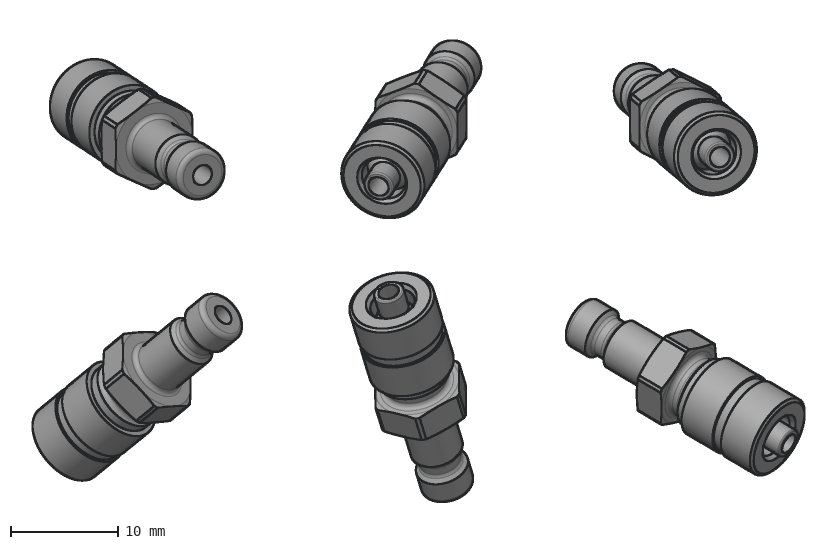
import cadquery as cq
import math

length = 25.0
collar_start = 1.15
collar_end = 9.58
groove_start = 4.85
groove_end = 5.88
cone_start = 2.2
cone_end = 3.45
stud_start = 5.88
flange_end = 10.5
hex_start = 12.0
hex_end = 15.0
stub_groove_start = 20.2
stub_groove_end = 22.42

bore_dia = 1.95
tube_dia = 2.85
throat_dia = 4.25
mouth_dia = 4.85
stud_dia = 6.5
flange_dia = 7.0
neck_dia = 6.0
stub_dia = 5.0
stub_groove_dia = 3.95
collar_dia = 8.1
collar_groove_dia = 7.65

hex_flats = 8.0
hex_corner_dia = 9.0
hex_face_dia = 8.0
hex_bevel = 0.12

tube_round = 0.15
neck_fillet = 0.5
stub_fillet = 0.45
tip_round = 0.5
stub_groove_fillet = 0.5
collar_chamfer_length = 0.22
collar_chamfer_depth = 0.3
mouth_depth = 0.5


def cylinder(start, end, diameter):
    """Solid cylinder on the X axis between two positions."""
    return cq.Workplane("YZ").workplane(offset=start).circle(diameter / 2).extrude(end - start)


def revolve_profile(points):
    """Turn an outline of (x, radius) points about the X axis."""
    return cq.Workplane("XY").polyline(points).close().revolve(360, (0, 0, 0), (1, 0, 0))


def make_nose():
    """Tube, cone and stud that sit inside the collar, plus the flange behind it."""
    tube = cylinder(0, cone_start, tube_dia).faces("<X").edges().fillet(tube_round)
    cone = revolve_profile([
        (cone_start, 0),
        (cone_start, tube_dia / 2),
        (cone_end, throat_dia / 2),
        (stud_start, throat_dia / 2),
        (stud_start, 0),
    ])
    stud = cylinder(stud_start, collar_end, stud_dia)
    flange = cylinder(collar_end, flange_end, flange_dia)
    return tube.union(cone).union(stud).union(flange)


def make_neck():
    """Relief between flange and hexagon, rounded into both."""
    floor = neck_dia / 2
    rim = floor + neck_fillet
    bend = neck_fillet * math.sqrt(0.5)
    left = flange_end + neck_fillet
    right = hex_start - neck_fillet
    return (
        cq.Workplane("XY")
        .moveTo(flange_end, 0)
        .lineTo(flange_end, rim)
        .threePointArc((left - bend, rim - bend), (left, floor))
        .lineTo(right, floor)
        .threePointArc((right + bend, rim - bend), (hex_start, rim))
        .lineTo(hex_start, 0)
        .close()
        .revolve(360, (0, 0, 0), (1, 0, 0))
    )


def make_hexagon():
    """Wrench hexagon with flats facing Y, turned corners and beveled ends."""
    corner_to_corner = hex_flats / math.cos(math.pi / 6)
    prism = (
        cq.Workplane("YZ")
        .workplane(offset=hex_start)
        .transformed(rotate=(0, 0, 90))
        .polygon(6, corner_to_corner)
        .extrude(hex_end - hex_start)
    )
    envelope = revolve_profile([
        (hex_start, 0),
        (hex_start, hex_face_dia / 2),
        (hex_start + hex_bevel, hex_corner_dia / 2),
        (hex_end - hex_bevel, hex_corner_dia / 2),
        (hex_end, hex_face_dia / 2),
        (hex_end, 0),
    ])
    return prism.intersect(envelope)


def make_stub():
    """Plug end with a latching groove and a rounded tip."""
    outer = stub_dia / 2
    floor = stub_groove_dia / 2
    slope = outer - floor
    groove = revolve_profile([
        (stub_groove_start, outer),
        (stub_groove_start + slope, floor),
        (stub_groove_end - slope, floor),
        (stub_groove_end, outer),
    ])
    stub = cylinder(hex_end, length, stub_dia).faces(">X").edges().fillet(tip_round)
    stub = stub.cut(groove)
    floor_region = cq.selectors.BoxSelector(
        (stub_groove_start + slope / 2, -outer, -outer),
        (stub_groove_end - slope / 2, outer, outer),
    )
    floor_edges = stub.edges(floor_region).edges("%CIRCLE")
    return floor_edges.fillet(stub_groove_fillet)


def make_stub_root():
    """Concave fillet where the stub leaves the hexagon."""
    outer = stub_dia / 2
    bend = stub_fillet * (1 - math.sqrt(0.5))
    return (
        cq.Workplane("XY")
        .moveTo(hex_end, 0)
        .lineTo(hex_end, outer + stub_fillet)
        .threePointArc((hex_end + bend, outer + bend), (hex_end + stub_fillet, outer))
        .lineTo(hex_end + stub_fillet, 0)
        .close()
        .revolve(360, (0, 0, 0), (1, 0, 0))
    )


def make_housing():
    """Hose nipple, hexagon and plug in one piece, with a bore right through."""
    housing = make_nose()
    for section in (make_neck(), make_hexagon(), make_stub_root(), make_stub()):
        housing = housing.union(section)
    return housing.cut(cylinder(0, length, bore_dia))


def make_collar():
    """Clamping sleeve with a flared mouth, a narrow throat and a socket for the stud."""
    outer = collar_dia / 2
    groove = collar_groove_dia / 2
    throat = throat_dia / 2
    socket = stud_dia / 2
    return revolve_profile([
        (collar_start, mouth_dia / 2),
        (collar_start, outer - collar_chamfer_depth),
        (collar_start + collar_chamfer_length, outer),
        (groove_start, outer),
        (groove_start, groove),
        (groove_end, groove),
        (groove_end, outer),
        (collar_end, outer),
        (collar_end, socket),
        (stud_start, socket),
        (stud_start, throat),
        (collar_start + mouth_depth, throat),
    ])


housing = make_housing()
collar = make_collar()
result = cq.Compound.makeCompound([housing.val(), collar.val()])